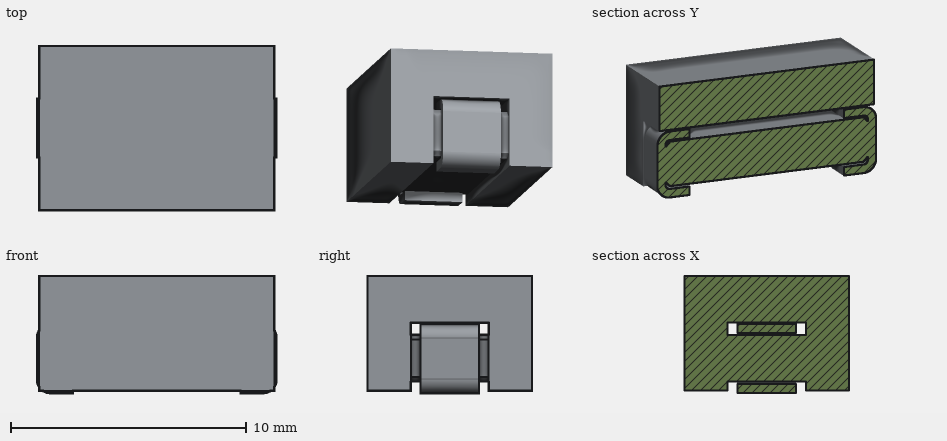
import cadquery as cq

overall_length = 10.2
body_width = 7.0
overall_height = 5.0

foot_standoff = 0.1
terminal_overhang = 0.1
body_length = overall_length - 2 * terminal_overhang

channel_width = 3.3
channel_top = 3.0

core_bottom = 0.5
core_top = 2.5
core_chamfer = 0.2

terminal_width = 2.5
terminal_height = 2.95
terminal_thickness = 0.4
terminal_leg = 1.53
bend_radius = 0.6
inner_bend_radius = bend_radius - terminal_thickness

core_length = overall_length - 2 * terminal_thickness


def block(length, width, bottom, top):
    """Box centred on the Z axis between two heights."""
    return (
        cq.Workplane("XY")
        .workplane(offset=bottom)
        .rect(length, width)
        .extrude(top - bottom)
    )


def make_body():
    body = block(body_length, body_width, foot_standoff, overall_height)
    channel = block(body_length, channel_width, foot_standoff, channel_top)
    return body.cut(channel)


def make_core():
    core = block(core_length, channel_width, core_bottom, core_top)
    return core.faces("<X or >X").edges("|Y").chamfer(core_chamfer)


def make_terminal():
    """Terminal at the -X end: foot, upright and top leg bent from one strip."""
    outer_x = -overall_length / 2
    inner_x = outer_x + terminal_thickness
    leg_end_x = outer_x + terminal_leg

    outer = (
        block(terminal_leg, terminal_width, 0, terminal_height)
        .faces("<X")
        .edges("|Y")
        .fillet(bend_radius)
        .translate(((outer_x + leg_end_x) / 2, 0, 0))
    )
    opening = (
        block(
            terminal_leg - terminal_thickness,
            terminal_width,
            terminal_thickness,
            terminal_height - terminal_thickness,
        )
        .faces("<X")
        .edges("|Y")
        .fillet(inner_bend_radius)
        .translate(((inner_x + leg_end_x) / 2, 0, 0))
    )
    return outer.cut(opening)


left_terminal = make_terminal()
right_terminal = left_terminal.mirror("YZ")

result = make_body().union(make_core()).union(left_terminal).union(right_terminal)